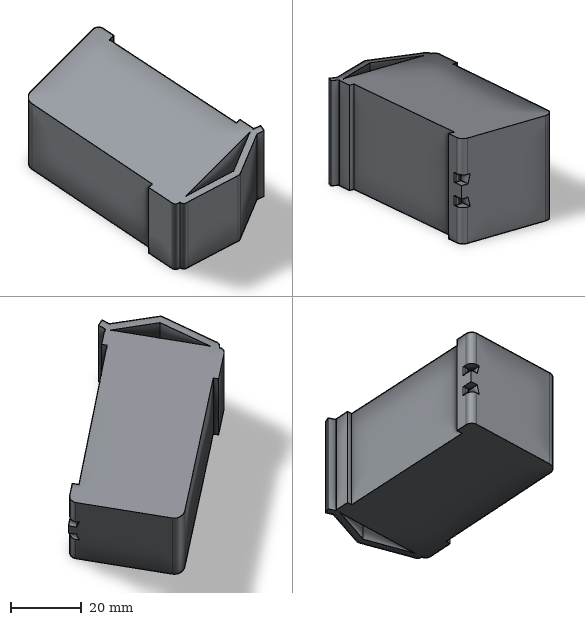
import cadquery as cq

total_length = 63.8
total_width = 36.5
height = 32.0

block_length = 56.8
block_bottom = 1.6
pad_step_y = 1.5
block_top = 34.45
bottom_end_radius = 3.05
top_end_radius = 2.1

recess_start = 5.95
recess_end = 51.8
recess_floor_start = 32.55
recess_floor_end = 32.9

pad_start = 46.75
pad_radius = block_bottom

clip_root_top = 34.25
clip_inner_top = 32.85
clip_inner_bottom = 4.3
clip_peak_y = 19.6
clip_inner_peak_x = 61.7
clip_bend_half_width = 0.6
clip_bend_sagitta = 0.1
clip_elbow = (58.75, 33.55)
tip_outer = (59.6, 35.8)
tip_inner = (57.75, total_width)
clip_foot = (58.5, 3.1)
clip_foot_middle = (57.9, 2.0)

tab_half_height = 2.05
notch_height = 2.95
notch_depth = 3.1
mouth_near_tab = 2.3
mouth_far_from_tab = 3.05
floor_flat_start = 0.5
floor_flat_end = 1.5
floor_curve_end = 2.1
floor_curve_drop = 0.2
floor_lip_drop = 0.4
floor_slope_drop = 0.65


def extrude_centred(outline):
    return outline.extrude(height / 2, both=True)


def make_block():
    outline = (
        cq.Workplane("XY")
        .moveTo(0, block_bottom)
        .lineTo(pad_start, pad_step_y)
        .lineTo(pad_start, 0)
        .lineTo(block_length - pad_radius, 0)
        .radiusArc((block_length, pad_radius), -pad_radius)
        .lineTo(block_length, block_top)
        .lineTo(recess_end, block_top)
        .lineTo(recess_end, recess_floor_end)
        .lineTo(recess_start, recess_floor_start)
        .lineTo(recess_start, block_top)
        .lineTo(0, block_top)
        .close()
    )
    bottom_corner = cq.selectors.NearestToPointSelector((0, block_bottom, 0))
    return extrude_centred(outline).edges(bottom_corner).fillet(bottom_end_radius)


def make_clip():
    outer_bend_x = total_length - clip_bend_sagitta
    outline = (
        cq.Workplane("XY")
        .moveTo(block_length, clip_root_top)
        .lineTo(*tip_inner)
        .lineTo(*tip_outer)
        .lineTo(*clip_elbow)
        .lineTo(outer_bend_x, clip_peak_y + clip_bend_half_width)
        .threePointArc(
            (total_length, clip_peak_y),
            (outer_bend_x, clip_peak_y - clip_bend_half_width),
        )
        .lineTo(*clip_foot)
        .threePointArc(clip_foot_middle, (block_length, block_bottom))
        .lineTo(block_length, clip_inner_bottom)
        .lineTo(clip_inner_peak_x, clip_peak_y)
        .lineTo(block_length, clip_inner_top)
        .close()
    )
    return extrude_centred(outline)


def make_corner_rounding():
    """Waste outside the top corner radius, left out at the height of the tab."""
    waste = extrude_centred(
        cq.Workplane("XY")
        .moveTo(0, block_top)
        .lineTo(0, block_top - top_end_radius)
        .radiusArc((top_end_radius, block_top), top_end_radius)
        .close()
    )
    tab = cq.Workplane("XY").box(2 * top_end_radius, 2 * block_top, 2 * tab_half_height)
    return waste.cut(tab)


def make_upper_notch():
    """Notch above the tab: a humped floor, and a side wall that tapers with Z."""
    floor = (
        cq.Workplane("XY")
        .workplane(offset=tab_half_height)
        .moveTo(0, block_top)
        .lineTo(notch_depth + floor_lip_drop, block_top)
        .lineTo(notch_depth, block_top - floor_flat_start)
        .lineTo(notch_depth, block_top - floor_flat_end)
        .lineTo(notch_depth + floor_curve_drop, block_top - floor_curve_end)
        .lineTo(notch_depth + floor_slope_drop, block_top - mouth_far_from_tab)
        .lineTo(0, block_top - mouth_far_from_tab)
        .close()
        .extrude(notch_height)
    )
    side_taper = (
        cq.Workplane("YZ")
        .moveTo(block_top, tab_half_height)
        .lineTo(block_top - mouth_near_tab, tab_half_height)
        .lineTo(block_top - mouth_far_from_tab, tab_half_height + notch_height)
        .lineTo(block_top, tab_half_height + notch_height)
        .close()
        .extrude(recess_start)
    )
    return floor.intersect(side_taper)


upper_notch = make_upper_notch()
result = (
    make_block()
    .union(make_clip())
    .cut(make_corner_rounding())
    .cut(upper_notch)
    .cut(upper_notch.mirror("XY"))
)